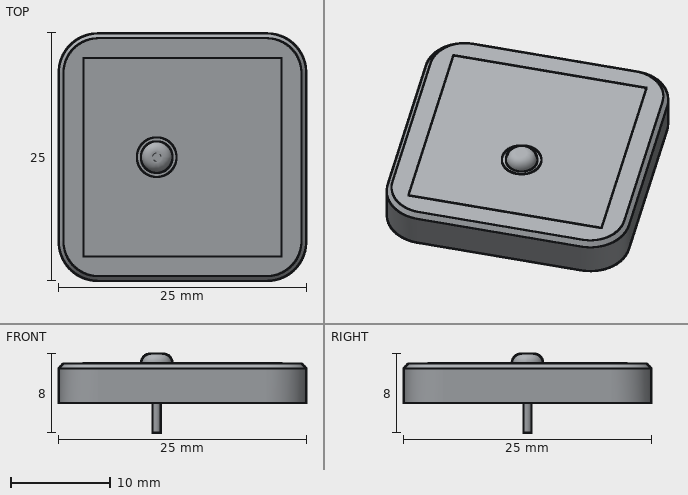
import cadquery as cq

body_side = 25.0
body_height = 4.0
corner_radius = 4.0
top_chamfer = 0.5

patch_side = 20.0
patch_thickness = 0.05
clearance_diameter = 4.0

feed_x = -2.6
bead_diameter = 3.2
bead_height = 1.0
pin_diameter = 0.85
pin_length = 3.0


def make_body():
    """Block with rounded vertical corners and a chamfered top rim."""
    block = cq.Workplane("XY").rect(body_side, body_side).extrude(body_height)
    return block.edges("|Z").fillet(corner_radius).faces(">Z").chamfer(top_chamfer)


def make_patch():
    """Thin square sheet with the round clearance cut through it."""
    sheet = cq.Workplane("XY", origin=(0, 0, body_height)).rect(patch_side, patch_side)
    return sheet.moveTo(feed_x, 0).circle(clearance_diameter / 2).extrude(patch_thickness)


def make_bead():
    """Flat-topped dome whose side is a quarter arc as tall as the bead."""
    base_radius = bead_diameter / 2
    flat_radius = base_radius - bead_height
    diagonal = bead_height * 0.5**0.5
    profile = (
        cq.Workplane("XZ", origin=(feed_x, 0, body_height))
        .lineTo(base_radius, 0)
        .threePointArc((flat_radius + diagonal, diagonal), (flat_radius, bead_height))
        .lineTo(0, bead_height)
        .close()
    )
    return profile.revolve(360, (0, 0), (0, 1))


def make_pin():
    """Round feed pin hanging below the body."""
    return cq.Workplane("XY").moveTo(feed_x, 0).circle(pin_diameter / 2).extrude(-pin_length)


result = make_body().union(make_patch()).union(make_bead()).union(make_pin())